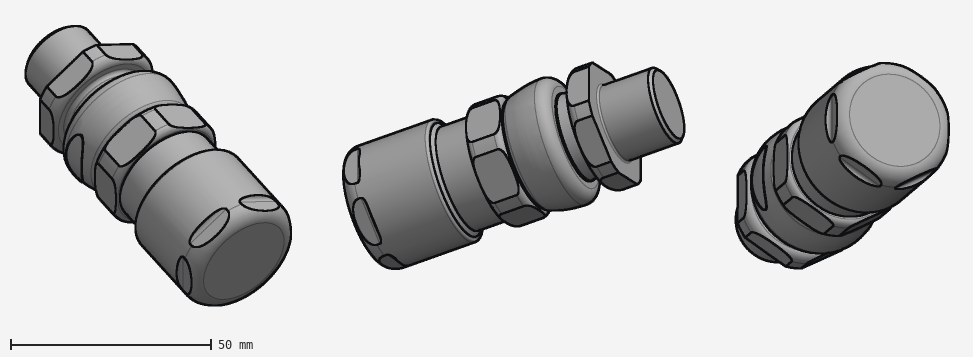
import cadquery as cq
import math

LENGTH = 84.05
HEX_START = 15.0
HEX_END = 21.4
NECK_END = 25.55
UNION_START = 25.9
UNION_TAIL = 38.1
UNION_END = 39.25
GLAND_HEX_START = 39.5
GLAND_HEX_END = 49.1
CAP_START = 58.0
SLEEVE_START = 59.0
FLAT_START = 79.2

ACROSS_FLATS = 30.0
HEAD_RADIUS = 32.5 / 2
FLAT_COUNT = 6

SPIGOT_RADIUS = 20.0 / 2
SPIGOT_CHAMFER = 0.9
SPIGOT_FILLET = 0.5
HEX_ROUND = 2.4
NECK_RADIUS = 22.3 / 2
NECK_END_RADIUS = 23.0 / 2
NECK_FILLET = 1.1

SEAL_RADIUS = 23.3 / 2

UNION_RADIUS = 16.8
UNION_ROUND = 3.3
UNION_TAIL_RADIUS = 15.2
UNION_END_RADIUS = 14.0
PAD_CENTER_X = 32.4
PAD_WIDTH = 5.9
PAD_HEIGHT = 17.0
PAD_RISE = 0.2

COLLAR_RADIUS = 14.2
GLAND_HEX_ROUND = 1.8
SHANK_RADIUS = 13.9

NOSE_RISE = 1.2
SLEEVE_ROUND = 0.75
CAP_ROUND = 4.1
RUN_OUT_RADIUS = 1.1

QUARTER = math.sqrt(0.5)


def axis_point(x):
    """Start a turned profile on the axis at x."""
    return cq.Workplane("XY").moveTo(x, 0)


def turn(profile, x_end):
    """Run a profile back to the axis at x_end and revolve it about X."""
    return profile.lineTo(x_end, 0).close().revolve(360, (0, 0, 0), (1, 0, 0))


def convex_rise(profile, x, radius, r):
    """Round an outer edge, from a face at x to the cylinder of the given radius."""
    corner = r * (1 - QUARTER)
    return profile.lineTo(x, radius - r).threePointArc((x + corner, radius - corner), (x + r, radius))


def convex_fall(profile, x, radius, r):
    """Round an outer edge, from the cylinder of the given radius to a face at x."""
    corner = r * (1 - QUARTER)
    return profile.lineTo(x - r, radius).threePointArc((x - corner, radius - corner), (x, radius - r))


def concave_rise(profile, x, radius, r):
    """Fillet an inner corner, from the cylinder of the given radius to a face at x."""
    corner = r * (1 - QUARTER)
    return profile.lineTo(x - r, radius).threePointArc((x - corner, radius + corner), (x, radius + r))


def concave_fall(profile, x, radius, r):
    """Fillet an inner corner, from a face at x to the cylinder of the given radius."""
    corner = r * (1 - QUARTER)
    return profile.lineTo(x, radius + r).threePointArc((x + corner, radius + corner), (x + r, radius))


def hex_prism(x_start, x_end):
    """Hexagonal bar along X with flats facing +Y and -Y."""
    corner_diameter = ACROSS_FLATS / math.cos(math.pi / FLAT_COUNT)
    bar = cq.Workplane("YZ").workplane(offset=x_start).transformed(rotate=(0, 0, 90))
    return bar.polygon(FLAT_COUNT, corner_diameter).extrude(x_end - x_start)


def make_adapter():
    """Chamfered spigot, hexagonal head and flared neck."""
    spigot = axis_point(0).lineTo(0, SPIGOT_RADIUS - SPIGOT_CHAMFER).lineTo(SPIGOT_CHAMFER, SPIGOT_RADIUS)
    spigot = concave_rise(spigot, HEX_START, SPIGOT_RADIUS, SPIGOT_FILLET)
    spigot = turn(spigot, HEX_START)

    head = convex_fall(axis_point(HEX_START).lineTo(HEX_START, HEAD_RADIUS), HEX_END, HEAD_RADIUS, HEX_ROUND)
    head = turn(head, HEX_END).intersect(hex_prism(HEX_START, HEX_END))

    neck = concave_fall(axis_point(HEX_END), HEX_END, NECK_RADIUS, NECK_FILLET)
    neck = turn(neck.lineTo(NECK_END, NECK_END_RADIUS), NECK_END)
    return spigot.union(head).union(neck)


def make_seal_disc():
    """Plain disc between the adapter neck and the union nut."""
    disc = axis_point(NECK_END).lineTo(NECK_END, SEAL_RADIUS).lineTo(UNION_START, SEAL_RADIUS)
    return turn(disc, UNION_START)


def union_blank(rise):
    """Bulged body of the union nut, its outside raised by the given amount."""
    blank = convex_rise(axis_point(UNION_START), UNION_START, UNION_RADIUS + rise, UNION_ROUND)
    blank = blank.tangentArcPoint((UNION_TAIL, UNION_TAIL_RADIUS + rise), relative=False)
    blank = blank.tangentArcPoint((UNION_END, UNION_END_RADIUS + rise), relative=False)
    return turn(blank, UNION_END)


def make_union_nut():
    """Bulged nut with a raised oval pad on its -Y side."""
    pad = cq.Workplane("XZ").center(PAD_CENTER_X, 0).ellipse(PAD_WIDTH / 2, PAD_HEIGHT / 2)
    pad = pad.extrude(2 * UNION_RADIUS).intersect(union_blank(PAD_RISE))
    return union_blank(0).union(pad)


def make_gland_body():
    """Short collar, hexagonal head and cylindrical shank."""
    head = convex_rise(axis_point(GLAND_HEX_START), GLAND_HEX_START, HEAD_RADIUS, GLAND_HEX_ROUND)
    head = convex_fall(head, GLAND_HEX_END, HEAD_RADIUS, GLAND_HEX_ROUND)
    head = turn(head, GLAND_HEX_END).intersect(hex_prism(GLAND_HEX_START, GLAND_HEX_END))

    shank = axis_point(GLAND_HEX_END).lineTo(GLAND_HEX_END, SHANK_RADIUS).lineTo(CAP_START, SHANK_RADIUS)
    collar = axis_point(UNION_END).lineTo(UNION_END, COLLAR_RADIUS).lineTo(GLAND_HEX_START, COLLAR_RADIUS)
    return head.union(turn(shank, CAP_START)).union(turn(collar, GLAND_HEX_START))


def flat_cutter():
    """Cutter for the cap flat facing +Y, with a rounded run-out at its start."""
    flat_y = ACROSS_FLATS / 2
    wall_x = FLAT_START - RUN_OUT_RADIUS
    cutter = cq.Workplane("XY").moveTo(LENGTH, HEAD_RADIUS).lineTo(wall_x, HEAD_RADIUS)
    cutter = concave_fall(cutter, wall_x, flat_y, RUN_OUT_RADIUS)
    return cutter.lineTo(LENGTH, flat_y).close().extrude(HEAD_RADIUS, both=True)


def make_cap():
    """Cap with a conical nose, a domed end and six wrench flats."""
    cap = axis_point(CAP_START).lineTo(CAP_START, SHANK_RADIUS)
    cap = cap.lineTo(SLEEVE_START, SHANK_RADIUS + NOSE_RISE)
    cap = convex_rise(cap, SLEEVE_START, HEAD_RADIUS, SLEEVE_ROUND)
    cap = turn(convex_fall(cap, LENGTH, HEAD_RADIUS, CAP_ROUND), LENGTH)
    for i in range(FLAT_COUNT):
        cap = cap.cut(flat_cutter().rotate((0, 0, 0), (1, 0, 0), i * 360 / FLAT_COUNT))
    return cap


adapter = make_adapter()
seal_disc = make_seal_disc()
union_nut = make_union_nut()
gland_body = make_gland_body()
cap = make_cap()

result = cq.Compound.makeCompound(
    [adapter.val(), seal_disc.val(), union_nut.val(), gland_body.val(), cap.val()]
)